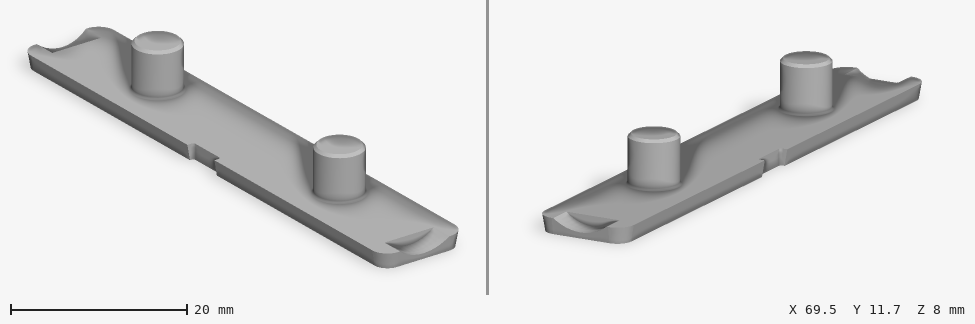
import cadquery as cq
import math

length = 69.5
width = 11.7
thickness = 2.0
corner_radius = 2.15
draft_angle = 10.0

total_height = 8.0
pin_height = total_height - thickness
pin_diameter = 6.0
pin_pitch = 34.75
pin_shift_x = 0.4
pin_shift_y = 0.5
pin_tip_chamfer = 0.35
pin_root_fillet = 0.3

scoop_length = 3.0
scoop_width = 6.95
scoop_depth = 1.25

notch_width = 5.15
notch_depth = 0.9
notch_center_x = -0.15
notch_fillet = 0.35


def make_plate():
    """Rounded plate with its top face at Z = 0 and drafted side walls."""
    outline = cq.Sketch().rect(length, width).vertices().fillet(corner_radius)
    return cq.Workplane("XY").placeSketch(outline).extrude(-thickness, taper=draft_angle)


def make_scoop(end):
    """Cylinder segment along X, open through the end wall; end is -1 or 1."""
    half_width = scoop_width / 2
    radius = (half_width**2 + scoop_depth**2) / (2 * scoop_depth)
    inner_x = length / 2 - scoop_length
    return (
        cq.Workplane("YZ", origin=(end * inner_x, 0, radius - scoop_depth))
        .circle(radius)
        .extrude(end * 2 * scoop_length)
    )


def make_notch():
    """Straight-walled notch cutter with rounded inner corners."""
    depth_span = 2 * notch_depth
    return (
        cq.Workplane("XY", origin=(notch_center_x, -width / 2, 0))
        .rect(notch_width, depth_span)
        .extrude(-thickness)
        .edges("|Z and >Y")
        .fillet(notch_fillet)
    )


def make_pin(x):
    """Pin standing on the top face, with a chamfered tip and a flared root."""
    radius = pin_diameter / 2
    root_radius = radius + pin_root_fillet
    fillet_mid = pin_root_fillet * (1 - math.sqrt(0.5))
    return (
        cq.Workplane("XZ")
        .moveTo(0, -thickness / 2)
        .lineTo(radius, -thickness / 2)
        .lineTo(radius, 0)
        .lineTo(root_radius, 0)
        .threePointArc((radius + fillet_mid, fillet_mid), (radius, pin_root_fillet))
        .lineTo(radius, pin_height - pin_tip_chamfer)
        .lineTo(radius - pin_tip_chamfer, pin_height)
        .lineTo(0, pin_height)
        .close()
        .revolve(360, (0, 0, 0), (0, 1, 0))
        .translate((x, pin_shift_y, 0))
    )


result = make_plate().cut(make_notch())
for end in (-1, 1):
    result = result.cut(make_scoop(end))
    result = result.union(make_pin(pin_shift_x + end * pin_pitch / 2))